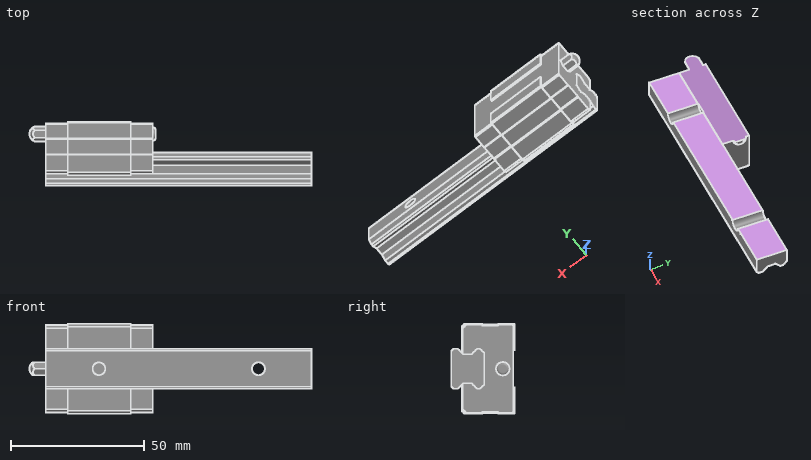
import cadquery as cq
import math

OVERALL_LENGTH = 106.1
NIPPLE_LENGTH = 6.2

RAIL_START = NIPPLE_LENGTH
RAIL_LENGTH = OVERALL_LENGTH - NIPPLE_LENGTH
RAIL_HEIGHT = 12.5
RAIL_HALF_WIDTH = 7.5
NECK_HALF_WIDTH = 5.5
BASE_CHAMFER = 0.8
NECK_BOTTOM = 4.6
NECK_TOP = 7.7
HEAD_CHAMFER = 1.7
MOUNT_HOLE_DIAMETER = 4.8
MOUNT_HOLE_PITCH = 59.9

CARRIAGE_LENGTH = 40.3
BLOCK_LENGTH = 23.8
BLOCK_FRONT = 3.9
BLOCK_BACK = 24.0
BLOCK_HALF_WIDTH = 17.0
CAP_FRONT = 4.5
CAP_BACK = 23.5
CAP_HALF_WIDTH = 16.4
FRONT_CHAMFER = 1.2
BACK_CHAMFER = 0.4
SIDE_GROOVE_BOTTOM = 11.6
SIDE_GROOVE_TOP = 17.8
SIDE_GROOVE_DEPTH = 0.3
SIDE_GROOVE_FLARE = 0.3
BACK_CHANNEL_WIDTH = 14.0

NIPPLE_Y = 19.4
NIPPLE_ACROSS_FLATS = 5.0
NIPPLE_DOME_RADIUS = 3.0
PLUG_DIAMETER = 5.1
PLUG_LENGTH = 1.1

CENTRE_X = RAIL_START + CARRIAGE_LENGTH / 2
CARRIAGE_END = RAIL_START + CARRIAGE_LENGTH


def prism_along_x(half_outline, start, length):
    """Extrude along X a section given as (Y, Z) points of its +Z half, mirrored about Z = 0."""
    mirrored = [(y, -z) for y, z in reversed(half_outline)]
    section = cq.Workplane("YZ", origin=(start, 0, 0)).polyline(half_outline + mirrored)
    return section.close().extrude(length)


def rail_bar():
    waist_depth = RAIL_HALF_WIDTH - NECK_HALF_WIDTH
    half_outline = [
        (0, RAIL_HALF_WIDTH - BASE_CHAMFER),
        (BASE_CHAMFER, RAIL_HALF_WIDTH),
        (NECK_BOTTOM - waist_depth, RAIL_HALF_WIDTH),
        (NECK_BOTTOM, NECK_HALF_WIDTH),
        (NECK_TOP, NECK_HALF_WIDTH),
        (NECK_TOP + waist_depth, RAIL_HALF_WIDTH),
        (RAIL_HEIGHT - HEAD_CHAMFER, RAIL_HALF_WIDTH),
        (RAIL_HEIGHT, RAIL_HALF_WIDTH - HEAD_CHAMFER),
    ]
    return prism_along_x(half_outline, RAIL_START, RAIL_LENGTH)


def make_rail():
    first_hole_x = RAIL_START + (RAIL_LENGTH - MOUNT_HOLE_PITCH) / 2
    rail = rail_bar()
    for x in (first_hole_x, first_hole_x + MOUNT_HOLE_PITCH):
        hole = cq.Workplane("XZ").center(x, 0).circle(MOUNT_HOLE_DIAMETER / 2).extrude(-RAIL_HEIGHT)
        rail = rail.cut(hole)
    return rail


def carriage_segment(front, back, half_width, start, length):
    """One stretch of the carriage, with a shallow flared groove along each side."""
    half_outline = [
        (front, half_width - FRONT_CHAMFER),
        (front + FRONT_CHAMFER, half_width),
        (SIDE_GROOVE_BOTTOM, half_width),
        (SIDE_GROOVE_BOTTOM + SIDE_GROOVE_FLARE, half_width - SIDE_GROOVE_DEPTH),
        (SIDE_GROOVE_TOP - SIDE_GROOVE_FLARE, half_width - SIDE_GROOVE_DEPTH),
        (SIDE_GROOVE_TOP, half_width),
        (back - BACK_CHAMFER, half_width),
        (back, half_width - BACK_CHAMFER),
    ]
    return prism_along_x(half_outline, start, length)


def steel_block():
    block = carriage_segment(
        BLOCK_FRONT, BLOCK_BACK, BLOCK_HALF_WIDTH,
        CENTRE_X - BLOCK_LENGTH / 2, BLOCK_LENGTH,
    )
    channel = (
        cq.Workplane("XZ", origin=(CENTRE_X, CAP_BACK, 0))
        .rect(BLOCK_LENGTH, BACK_CHANNEL_WIDTH)
        .extrude(CAP_BACK - BLOCK_BACK)
    )
    return block.cut(channel)


def grease_nipple():
    """Hexagonal nipple with two corners on the Y axis and a spherical outer end."""
    across_corners = NIPPLE_ACROSS_FLATS / math.cos(math.pi / 6)
    hexagon = (
        cq.Workplane("YZ", origin=(0, NIPPLE_Y, 0))
        .polygon(6, across_corners)
        .extrude(NIPPLE_LENGTH)
    )
    arc_rise = NIPPLE_DOME_RADIUS * math.sin(math.pi / 4)
    half_outline = (
        cq.Workplane("XY")
        .moveTo(0, 0)
        .threePointArc(
            (NIPPLE_DOME_RADIUS - arc_rise, arc_rise),
            (NIPPLE_DOME_RADIUS, NIPPLE_DOME_RADIUS),
        )
        .lineTo(NIPPLE_LENGTH, NIPPLE_DOME_RADIUS)
        .lineTo(NIPPLE_LENGTH, 0)
        .close()
    )
    envelope = half_outline.revolve(360, (0, 0, 0), (1, 0, 0)).translate((0, NIPPLE_Y, 0))
    return hexagon.intersect(envelope)


def end_plug():
    """Round plug with a flat tip and an edge rounded over the plug's whole length."""
    base_radius = PLUG_DIAMETER / 2
    tip_radius = base_radius - PLUG_LENGTH
    arc_rise = PLUG_LENGTH * math.sin(math.pi / 4)
    half_outline = (
        cq.Workplane("XY")
        .moveTo(0, 0)
        .lineTo(0, base_radius)
        .threePointArc((arc_rise, tip_radius + arc_rise), (PLUG_LENGTH, tip_radius))
        .lineTo(PLUG_LENGTH, 0)
        .close()
    )
    plug = half_outline.revolve(360, (0, 0, 0), (1, 0, 0))
    return plug.translate((CARRIAGE_END, NIPPLE_Y, 0))


def make_carriage():
    cap_length = (CARRIAGE_LENGTH - BLOCK_LENGTH) / 2
    carriage = steel_block()
    for start in (RAIL_START, CARRIAGE_END - cap_length):
        cap = carriage_segment(CAP_FRONT, CAP_BACK, CAP_HALF_WIDTH, start, cap_length)
        carriage = carriage.union(cap)
    carriage = carriage.union(grease_nipple()).union(end_plug())
    return carriage.cut(rail_bar())


rail = make_rail()
carriage = make_carriage()
result = cq.Compound.makeCompound([rail.val(), *carriage.vals()])